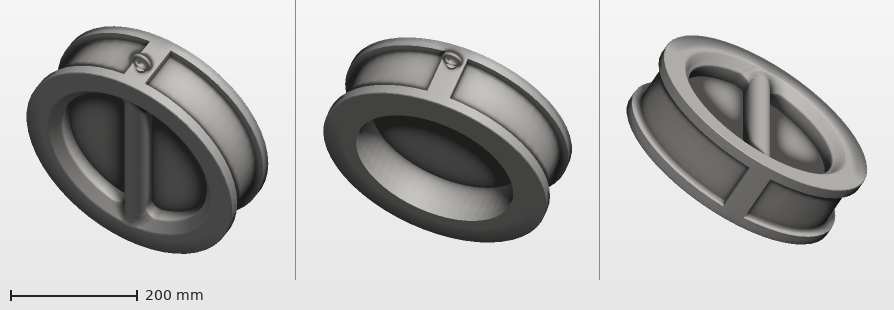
import cadquery as cq
import math

LONGEST_SIDE = 411.5
WIDTH = 114.0
RIM_RADIUS = 378.0 / 2
RIM_CHAMFER = 1.2

WAIST_RADIUS = 175.5
GROOVE_HALF_WIDTH = 40.0
GROOVE_WALL_DRAFT = 1.5
GROOVE_ROOT_RADIUS = 4.0
RIB_WIDTH = 38.0

MOUTH_RADIUS = 148.5
MOUTH_CHAMFER = 2.5
THROAT_RADIUS = 133.3
MOUTH_DEPTH = 16.5
THROAT_BLEND = 3.0

BAR_WIDTH = 38.0
BAR_FRONT_GAP = 4.0
BAR_END_FILLET = 15.5
FILLET_ALLOWANCE = 12.5

FLAP_DEPTH = 38.5
FLAP_THICKNESS = 8.2

EYE_Y = -18.0
EYE_RING_RADIUS = 13.5
EYE_WIRE_RADIUS = 6.0 / 2
COLLAR_RADIUS = 16.0 / 2
COLLAR_HEIGHT = 5.0

INLET_Y = -WIDTH / 2
OUTLET_Y = WIDTH / 2
FLAP_Y = INLET_Y + FLAP_DEPTH
EYE_TOP_Z = LONGEST_SIDE - RIM_RADIUS


def disc(radius, start_y, length):
    """Cylinder on the valve axis, growing toward +Y from start_y."""
    return cq.Workplane("XZ", origin=(0, start_y, 0)).circle(radius).extrude(-length)


def turned(profile):
    """Revolve a closed (radius, y) profile about the valve axis."""
    return profile.revolve(360, (0, 0, 0), (0, 1, 0))


def make_blank():
    return disc(RIM_RADIUS, INLET_Y, WIDTH).faces("<Y or >Y").chamfer(RIM_CHAMFER)


def make_groove():
    """Ring removed between the flanges, interrupted by the two ribs."""
    wall_foot = GROOVE_HALF_WIDTH - GROOVE_WALL_DRAFT
    root_top = WAIST_RADIUS + GROOVE_ROOT_RADIUS
    floor_end = wall_foot - GROOVE_ROOT_RADIUS
    arc_inset = GROOVE_ROOT_RADIUS * (1 - math.sqrt(0.5))
    arc_radius = WAIST_RADIUS + arc_inset
    arc_y = wall_foot - arc_inset
    ring = turned(
        cq.Workplane("XY")
        .moveTo(RIM_RADIUS, -GROOVE_HALF_WIDTH)
        .lineTo(root_top, -wall_foot)
        .threePointArc((arc_radius, -arc_y), (WAIST_RADIUS, -floor_end))
        .lineTo(WAIST_RADIUS, floor_end)
        .threePointArc((arc_radius, arc_y), (root_top, wall_foot))
        .lineTo(RIM_RADIUS, GROOVE_HALF_WIDTH)
        .close()
    )
    ribs = cq.Workplane("XY").box(RIB_WIDTH, WIDTH, 2 * RIM_RADIUS)
    return ring.cut(ribs)


def make_mouth_chamfer():
    """Ring-shaped sliver that bevels the mouth at the inlet face."""
    return turned(
        cq.Workplane("XY")
        .moveTo(0, INLET_Y)
        .lineTo(MOUTH_RADIUS + MOUTH_CHAMFER, INLET_Y)
        .lineTo(MOUTH_RADIUS, INLET_Y + MOUTH_CHAMFER / 2)
        .lineTo(0, INLET_Y + MOUTH_CHAMFER / 2)
        .close()
    )


def make_bore():
    """Throat and tapered mouth, the taper carried on past the inlet face."""
    taper_depth = MOUTH_DEPTH - MOUTH_CHAMFER / 2
    taper_slope = (MOUTH_RADIUS - THROAT_RADIUS) / taper_depth
    throat_y = INLET_Y + MOUTH_DEPTH
    front_y = INLET_Y - FILLET_ALLOWANCE
    front_radius = THROAT_RADIUS + taper_slope * (throat_y - front_y)
    bore = turned(
        cq.Workplane("XY")
        .moveTo(0, front_y)
        .lineTo(front_radius, front_y)
        .lineTo(THROAT_RADIUS, throat_y)
        .lineTo(THROAT_RADIUS, OUTLET_Y)
        .lineTo(0, OUTLET_Y)
        .close()
    )
    throat_edge = cq.selectors.NearestToPointSelector((0, throat_y, 0))
    return bore.edges("%CIRCLE").edges(throat_edge).fillet(THROAT_BLEND)


def make_bar():
    """Bar with a half-round front, long enough to run into the body wall."""
    crest_y = INLET_Y + BAR_FRONT_GAP
    half_width = BAR_WIDTH / 2
    shoulder_y = crest_y + half_width
    half_length = (MOUTH_RADIUS + RIM_RADIUS) / 2
    return (
        cq.Workplane("XY", origin=(0, 0, -half_length))
        .moveTo(-half_width, FLAP_Y)
        .lineTo(-half_width, shoulder_y)
        .threePointArc((0, crest_y), (half_width, shoulder_y))
        .lineTo(half_width, FLAP_Y)
        .close()
        .extrude(2 * half_length)
    )


def bar_end_edges(body):
    """Edges where the sides and crest of the bar run into the bore wall."""
    margin = 0.5
    half_span = BAR_WIDTH / 2 + margin
    min_z = THROAT_RADIUS - BAR_WIDTH
    edges = []
    for edge in body.edges().vals():
        box = edge.BoundingBox()
        beside_bar = max(abs(box.xmin), abs(box.xmax)) < half_span
        in_front = INLET_Y + margin < box.ymin and box.ymax < FLAP_Y + margin and box.ylen > margin
        at_end = min(abs(box.zmin), abs(box.zmax)) > min_z and box.zlen < BAR_WIDTH
        inside = max(abs(box.zmin), abs(box.zmax)) < MOUTH_RADIUS + margin
        if beside_bar and in_front and at_end and inside:
            edges.append(edge)
    return edges


def make_body():
    """Fillet the bar ends in an over-long barrel, then trim it to the flanged outline."""
    barrel = disc(RIM_RADIUS, INLET_Y - FILLET_ALLOWANCE, WIDTH + FILLET_ALLOWANCE)
    barrel = barrel.cut(make_bore()).union(make_bar())
    barrel = barrel.newObject(bar_end_edges(barrel)).fillet(BAR_END_FILLET)
    return barrel.intersect(make_blank()).cut(make_mouth_chamfer()).cut(make_groove())


def make_flap(side):
    """Half-disc flap on the +X (side = 1) or -X (side = -1) half of the bore."""
    half = cq.Workplane("XY").box(2 * RIM_RADIUS, WIDTH, 2 * RIM_RADIUS).translate((side * RIM_RADIUS, 0, 0))
    return disc(THROAT_RADIUS, FLAP_Y, FLAP_THICKNESS).intersect(half)


def make_lifting_eye():
    """Wire ring on a round collar whose foot is saddled onto the rim."""
    ring_z = EYE_TOP_Z - EYE_RING_RADIUS - EYE_WIRE_RADIUS
    ring = cq.Workplane(
        cq.Solid.makeTorus(EYE_RING_RADIUS, EYE_WIRE_RADIUS, cq.Vector(0, EYE_Y, ring_z), cq.Vector(0, 1, 0))
    )
    collar = (
        cq.Workplane("XY", origin=(0, EYE_Y, RIM_RADIUS + COLLAR_HEIGHT))
        .circle(COLLAR_RADIUS)
        .extrude(-2 * COLLAR_HEIGHT)
    )
    return collar.union(ring).cut(disc(RIM_RADIUS, INLET_Y, WIDTH))


body = make_body()
flaps = [make_flap(side).val() for side in (-1, 1)]
lifting_eye = make_lifting_eye()

result = cq.Compound.makeCompound([body.val(), *flaps, lifting_eye.val()])